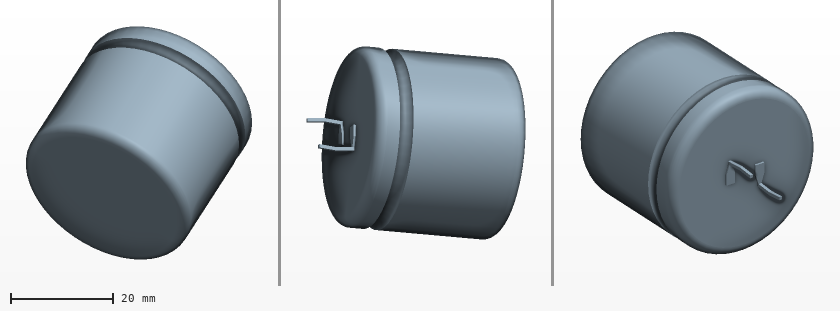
import cadquery as cq

can_diameter = 35.5
can_length = 31.0
can_radius = can_diameter / 2
rim_fillet = 2.03

groove_radius = 1.38
groove_to_rear = 6.0

total_length = 38.3
pin_center = 3.52
pin_size = 0.7
pin_bulge = 0.3
kink_to_tip = 3.45
foot_thickness = 0.45
foot_width = 2.05
foot_inner_half_height = 1.15

front_y = -total_length / 2
rear_y = front_y + can_length
tip_y = front_y + total_length
foot_y = rear_y + foot_thickness
kink_y = tip_y - kink_to_tip
groove_y = rear_y - groove_to_rear

pin_inner = pin_center - pin_size / 2
pin_outer = pin_center + pin_size / 2


def make_can():
    can = (
        cq.Workplane("XZ", origin=(0, rear_y, 0))
        .circle(can_radius)
        .extrude(can_length)
        .edges()
        .fillet(rim_fillet)
    )
    groove = (
        cq.Workplane("XY")
        .center(can_radius, groove_y)
        .circle(groove_radius)
        .revolve(360, (-can_radius, 0), (-can_radius, 1))
    )
    return can.cut(groove)


def make_foot():
    """Flat plate on the rear end that tapers to the pin width on the +Z side."""
    half_foot = foot_width / 2
    half_pin = pin_size / 2
    return (
        cq.Workplane("XZ", origin=(pin_center, foot_y, 0))
        .moveTo(-half_foot, -foot_inner_half_height)
        .lineTo(half_foot, -foot_inner_half_height)
        .lineTo(half_foot, foot_inner_half_height)
        .lineTo(half_pin, pin_inner)
        .lineTo(half_pin, pin_outer)
        .lineTo(-half_pin, pin_outer)
        .lineTo(-half_pin, pin_inner)
        .lineTo(-half_foot, foot_inner_half_height)
        .close()
        .extrude(foot_thickness)
    )


def make_pin():
    """Pin rising from the outer end of the foot, kinked away from the axis."""
    return (
        cq.Workplane("YZ", origin=(pin_center, 0, 0))
        .moveTo(foot_y, pin_inner)
        .lineTo(kink_y, pin_inner + pin_bulge)
        .lineTo(tip_y, pin_inner)
        .lineTo(tip_y, pin_outer)
        .lineTo(kink_y, pin_outer + pin_bulge)
        .lineTo(foot_y, pin_outer)
        .close()
        .extrude(pin_size / 2, both=True)
    )


terminal = make_foot().union(make_pin())
result = make_can()
for angle in (0, 180):
    result = result.union(terminal.rotate((0, 0, 0), (0, 1, 0), angle))